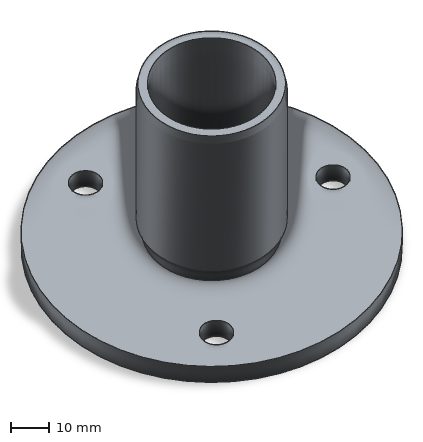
import cadquery as cq

flange_diameter = 100
flange_thickness = 6

total_height = 61
tube_diameter = 39.7
bore_diameter = 33.7

neck_diameter = 36.8
neck_height = 5

taper_height = 2.5
taper_inset = 0.5

hole_count = 3
hole_diameter = 9
hole_circle_radius = 37.5
first_hole_angle = 80

neck_top = flange_thickness + neck_height
taper_start = total_height - taper_height
flange_radius = flange_diameter / 2
tube_radius = tube_diameter / 2
bore_radius = bore_diameter / 2
neck_radius = neck_diameter / 2

body = (
    cq.Workplane("XZ")
    .moveTo(bore_radius, 0)
    .lineTo(flange_radius, 0)
    .lineTo(flange_radius, flange_thickness)
    .lineTo(neck_radius, flange_thickness)
    .lineTo(neck_radius, neck_top)
    .lineTo(tube_radius, neck_top)
    .lineTo(tube_radius, taper_start)
    .lineTo(tube_radius - taper_inset, total_height)
    .lineTo(bore_radius, total_height)
    .close()
    .revolve(360, (0, 0, 0), (0, 1, 0))
)

mounting_holes = (
    cq.Workplane("XY")
    .polarArray(hole_circle_radius, first_hole_angle, 360, hole_count)
    .circle(hole_diameter / 2)
    .extrude(flange_thickness)
)

result = body.cut(mounting_holes)